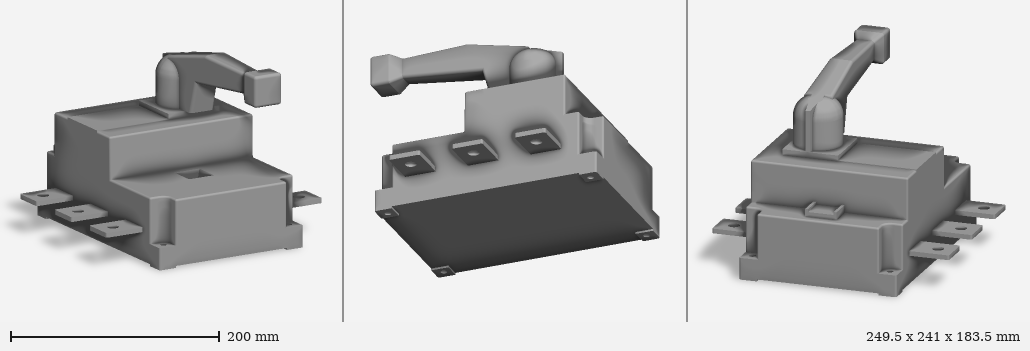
import cadquery as cq
import math

overall_length = 249.5
body_length = 230.0
body_width = 160.0
base_top = 22.0
shoulder_top = 67.9
block_top = 110.0
edge_radius = 2.0

mount_inset = 10.0
mount_clearance = 8.0
mount_hole_diameter = 6.5
foot_side = 18.0
foot_height = 2.0

switch_x = -30.0
block_length = 105.0
block_draft = 1.0

panel_length = 55.1
panel_top = 111.0
plate_width = 57.0
plate_y = 28.2
plate_top = 116.0

terminal_count = 3
terminal_pitch = 65.0
terminal_middle_x = 2.2
terminal_length = 241.0
terminal_width = 32.0
terminal_bottom = 30.7
terminal_thickness = 4.7
terminal_hole_diameter = 11.5
terminal_hole_inset = 16.7

tab_inset = 9.0
tab_width = 32.0
tab_top = 75.8
tab_rib = 3.0

window_x = 45.7
window_length = 27.2
window_width = 28.0
window_floor_side = 18.0
window_depth = 10.0

handle_y = 30.0
handle_gap = 1.0
hub_radius = 24.2
hub_rounding = 19.2
hub_shoulder = 145.2
arm_radius = 3.0
tip_x = -30.0
tip_top = 158.5
tip_half_width = 2.2
blade_half_width = 6.5
blade_root = 12.5
arm_half_width = 14.5
neck_x = 133.0
neck_half_width = 9.5
neck_top = 178.6
neck_bottom = 158.0
knob_x = 144.7
knob_half_width = 15.2
knob_top = 183.5
knob_bottom = 152.0
bend_x = 65.0
bend_top = 180.5
throat_x = 49.2
throat_bottom = 148.7
heel_x = 40.2

tolerance = 0.02

half_length = body_length / 2
half_width = body_width / 2
block_left = switch_x - block_length / 2
block_right = switch_x + block_length / 2
handle_bottom = plate_top + handle_gap
handle_end = overall_length - half_length - switch_x
top_slope = (bend_top - tip_top) / (bend_x - tip_x)
axis_top = tip_top - top_slope * tip_x
mount_points = [
    (sx * (half_length - mount_inset), sy * (half_width - mount_inset))
    for sx in (-1, 1)
    for sy in (-1, 1)
]


def box_between(x0, x1, y0, y1, z0, z1):
    """Box given by its limits along each axis."""
    return cq.Workplane("XY").box(x1 - x0, y1 - y0, z1 - z0, centered=False).translate((x0, y0, z0))


def make_base():
    """Bottom slab standing on four corner feet."""
    base = cq.Workplane("XY").box(body_length, body_width, base_top, centered=(True, True, False))
    base = base.edges("|Z").fillet(edge_radius)
    inner_length = body_length - 2 * foot_side
    inner_width = body_width - 2 * foot_side
    for length, width in ((body_length, inner_width), (inner_length, body_width)):
        base = base.cut(cq.Workplane("XY").rect(length, width).extrude(foot_height))
    return base


def make_shoulder():
    """Low body above the base, notched at the corners to reach the mounting holes."""
    height = shoulder_top - base_top
    shoulder = cq.Workplane("XY").workplane(offset=base_top).rect(body_length, body_width).extrude(height)
    notch_side = 2 * (mount_inset + mount_clearance)
    for x, y in mount_points:
        corner = (math.copysign(half_length, x), math.copysign(half_width, y))
        notch = (
            cq.Workplane("XY")
            .workplane(offset=base_top)
            .center(*corner)
            .rect(notch_side, notch_side)
            .extrude(height)
            .edges("|Z")
            .fillet(mount_clearance)
        )
        shoulder = shoulder.cut(notch)
    inner_region = cq.selectors.BoxSelector(
        (-half_length + tolerance, -half_width + tolerance, base_top),
        (half_length - tolerance, half_width - tolerance, shoulder_top),
    )
    wall_corners = cq.StringSyntaxSelector("|Z") - inner_region
    shoulder = shoulder.edges(wall_corners).fillet(edge_radius)
    return shoulder.faces(">Z").edges().fillet(edge_radius)


def make_block():
    """Raised centre block; its right wall leans in slightly."""
    block_bottom = shoulder_top - edge_radius
    block = (
        cq.Workplane("XZ", origin=(0, half_width, 0))
        .moveTo(block_left, block_bottom)
        .lineTo(block_right, block_bottom)
        .lineTo(block_right - block_draft, block_top)
        .lineTo(block_left, block_top)
        .close()
        .extrude(body_width)
    )
    return block.edges("not <Z").fillet(edge_radius)


def make_panel_and_plate():
    """Strip flush with the front wall, and the plate that carries the handle."""
    left = switch_x - panel_length / 2
    right = switch_x + panel_length / 2
    bottom = block_top - edge_radius
    back = plate_y + plate_width / 2
    panel = box_between(left, right, -half_width, plate_y, bottom, panel_top)
    plate = box_between(left, right, back - plate_width, back, bottom, plate_top)
    return panel.union(plate)


def make_terminal(x):
    """Bar that sticks out of both long walls, with a bolt hole near each end."""
    hole_y = terminal_length / 2 - terminal_hole_inset
    return (
        cq.Workplane("XY", origin=(x, 0, terminal_bottom))
        .rect(terminal_width, terminal_length)
        .extrude(terminal_thickness)
        .edges("|Z")
        .fillet(edge_radius)
        .faces(">Z")
        .workplane()
        .pushPoints([(0, -hole_y), (0, hole_y)])
        .hole(terminal_hole_diameter)
    )


def make_tab():
    """Latch tab with a rib along each side."""
    left = -half_length + tab_inset
    right = block_left + edge_radius
    outer_half = tab_width / 2
    floor_half = outer_half - tab_rib
    tab = box_between(left, right, -outer_half, outer_half, shoulder_top - edge_radius, tab_top)
    return tab.cut(box_between(left, right, -floor_half, floor_half, tab_top - tab_rib, tab_top))


def make_window():
    """Shape removed by the tapered square window."""
    return (
        cq.Workplane("XY", origin=(window_x, 0, shoulder_top))
        .rect(window_length, window_width)
        .workplane(offset=-window_depth)
        .rect(window_floor_side, window_floor_side)
        .loft(ruled=True)
    )


def make_housing():
    """Housing with its panel, plate, tab and terminals as one solid."""
    housing = make_base().union(make_shoulder()).union(make_block()).union(make_panel_and_plate())
    housing = housing.union(make_tab())
    for index in range(terminal_count):
        offset = (index - (terminal_count - 1) / 2) * terminal_pitch
        housing = housing.union(make_terminal(terminal_middle_x + offset))
    mount_holes = cq.Workplane("XY").pushPoints(mount_points).circle(mount_hole_diameter / 2).extrude(base_top)
    return housing.cut(mount_holes).cut(make_window())


def make_arm():
    """Grip arm: the side outline crossed with the plan outline, then rounded."""
    side = (
        cq.Workplane("XZ")
        .polyline([
            (0, handle_bottom),
            (0, axis_top),
            (bend_x, bend_top),
            (neck_x, neck_top),
            (knob_x, knob_top),
            (handle_end, knob_top),
            (handle_end, knob_bottom),
            (knob_x, knob_bottom),
            (neck_x, neck_bottom),
            (throat_x, throat_bottom),
            (heel_x, handle_bottom),
        ])
        .close()
        .extrude(knob_half_width, both=True)
    )
    half_plan = [
        (0, arm_half_width),
        (neck_x, neck_half_width),
        (knob_x, knob_half_width),
        (handle_end, knob_half_width),
    ]
    plan = (
        cq.Workplane("XY", origin=(0, 0, handle_bottom))
        .polyline(half_plan + [(x, -y) for x, y in reversed(half_plan)])
        .close()
        .extrude(knob_top - handle_bottom)
    )
    arm = side.intersect(plan)
    past_neck = box_between(neck_x, handle_end, -knob_half_width, knob_half_width, handle_bottom, knob_top)
    grip = round_edges(arm.cut(past_neck))
    knob = round_edges(arm.intersect(past_neck))
    return grip.union(knob)


def round_edges(piece):
    """Round the edges that run along the arm, its top front edge and the edges of its far end."""
    chosen = [edge for edge in piece.edges().vals() if is_rounded(edge.BoundingBox())]
    return piece.newObject(chosen).fillet(arm_radius)


def is_rounded(limits):
    """Tell from an edge's bounding box whether that edge of the arm is rounded."""
    at_far_end = limits.xmin > handle_end - tolerance
    at_top_front = limits.xmax < tolerance and limits.zmin > axis_top - tolerance
    runs_along = limits.xlen > tolerance and limits.zmax > handle_bottom + tolerance
    return at_far_end or at_top_front or runs_along


def make_hub():
    """Round hub with a domed top."""
    return (
        cq.Workplane("XY", origin=(0, 0, handle_bottom))
        .circle(hub_radius)
        .extrude(hub_shoulder + hub_rounding - handle_bottom)
        .faces(">Z")
        .edges()
        .fillet(hub_rounding)
    )


def make_blade():
    """Pointer blade, rooted inside the arm, that tapers from the arm's front to a narrow tip."""
    return (
        cq.Workplane("XY", origin=(0, 0, handle_bottom))
        .polyline([
            (tip_x, -tip_half_width),
            (0, -blade_half_width),
            (blade_root, -blade_half_width),
            (blade_root, blade_half_width),
            (0, blade_half_width),
            (tip_x, tip_half_width),
        ])
        .close()
        .extrude(bend_top - handle_bottom)
    )


def make_slope_cutter():
    """Everything above the sloping top that the arm and the blade share."""
    return (
        cq.Workplane("XZ")
        .polyline([(tip_x, tip_top), (bend_x, bend_top), (tip_x, bend_top)])
        .close()
        .extrude(hub_radius, both=True)
    )


def make_handle():
    """Hub, blade and arm as one solid, moved to its turning axis."""
    handle = make_hub().union(make_blade()).cut(make_slope_cutter()).union(make_arm())
    return handle.translate((switch_x, handle_y, 0))


housing = make_housing()
handle = make_handle()
result = cq.Compound.makeCompound([housing.val(), handle.val()])